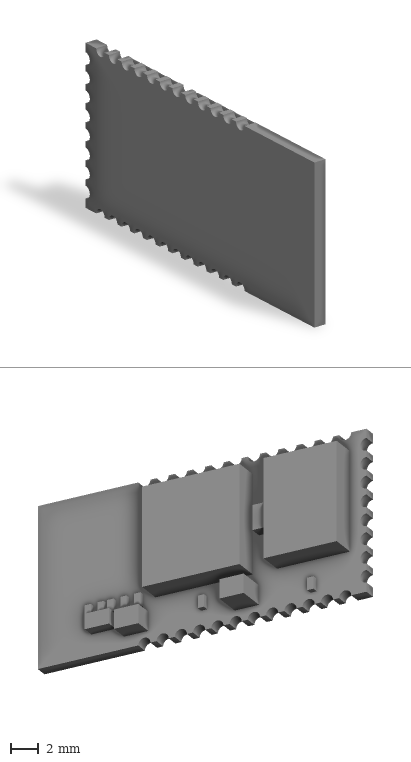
import cadquery as cq

board_length = 27.0
board_height = 13.0
board_thickness = 1.0

notch_diameter = 1.0
long_edge_notch_count = 12
long_edge_notch_start = 1.75
long_edge_notch_span = 16.5
short_edge_notch_count = 8
short_edge_notch_span = 10.5

module_bottom = 3.5
module_height = 8.0
module_rise = 2.0
narrow_module_left = 1.35
narrow_module_width = 6.0
wide_module_left = 9.35
wide_module_width = 8.0

crystal_left = 8.83
crystal_bottom = 0.97
crystal_width = 2.0
crystal_height = 1.55
crystal_rise = 2.3

gap_block_width = 1.0
gap_block_height = 2.0
gap_block_rise = 1.0

chip_width = 2.0
tall_chip_left = 17.93
tall_chip_rise = 1.48
low_chip_left = 20.6
low_chip_top = 3.0
low_chip_height = 1.25
low_chip_rise = 1.0

passive_width = 0.5
passive_height = 1.0
passive_rise = 0.49
passive_row_lefts = [18.3, 19.45, 20.52, 21.33, 22.38]
passive_row_bottom = 2.95
inner_passive_top = 2.6


def spaced(start, span, count):
    """Evenly spaced positions covering the span, both ends included."""
    return [start + span * i / (count - 1) for i in range(count)]


def component(left, bottom, width, height, rise):
    """Block that starts at the board's plain face and rises above its +Y face."""
    size_y = board_thickness + rise
    block = cq.Workplane("XY").box(width, size_y, height, centered=False)
    return block.translate((left, 0, bottom))


def passive(left, bottom):
    return component(left, bottom, passive_width, passive_height, passive_rise)


def notches():
    """Round cutters centred on the notched edges of the board."""
    long_edge_xs = spaced(long_edge_notch_start, long_edge_notch_span, long_edge_notch_count)
    short_edge_start = (board_height - short_edge_notch_span) / 2
    short_edge_zs = spaced(short_edge_start, short_edge_notch_span, short_edge_notch_count)
    centres = [(x, z) for z in (0, board_height) for x in long_edge_xs]
    centres += [(0, z) for z in short_edge_zs]
    return (
        cq.Workplane("XZ")
        .pushPoints(centres)
        .circle(notch_diameter / 2)
        .extrude(-board_thickness)
    )


def components():
    gap_block_left = crystal_left - gap_block_width
    gap_block_bottom = module_bottom + (module_height - gap_block_height) / 2
    narrow_module_centre = narrow_module_left + narrow_module_width / 2
    wide_module_centre = wide_module_left + wide_module_width / 2
    low_chip_bottom = low_chip_top - low_chip_height
    blocks = [
        component(narrow_module_left, module_bottom, narrow_module_width, module_height, module_rise),
        component(wide_module_left, module_bottom, wide_module_width, module_height, module_rise),
        component(crystal_left, crystal_bottom, crystal_width, crystal_height, crystal_rise),
        component(gap_block_left, gap_block_bottom, gap_block_width, gap_block_height, gap_block_rise),
        component(tall_chip_left, crystal_bottom, chip_width, crystal_height, tall_chip_rise),
        component(low_chip_left, low_chip_bottom, chip_width, low_chip_height, low_chip_rise),
        passive(narrow_module_centre - passive_width / 2, crystal_bottom),
        passive(wide_module_centre - passive_width / 2, inner_passive_top - passive_height),
    ]
    blocks += [passive(left, passive_row_bottom) for left in passive_row_lefts]
    return blocks


result = cq.Workplane("XY").box(board_length, board_thickness, board_height, centered=False)
result = result.cut(notches())
for block in components():
    result = result.union(block)